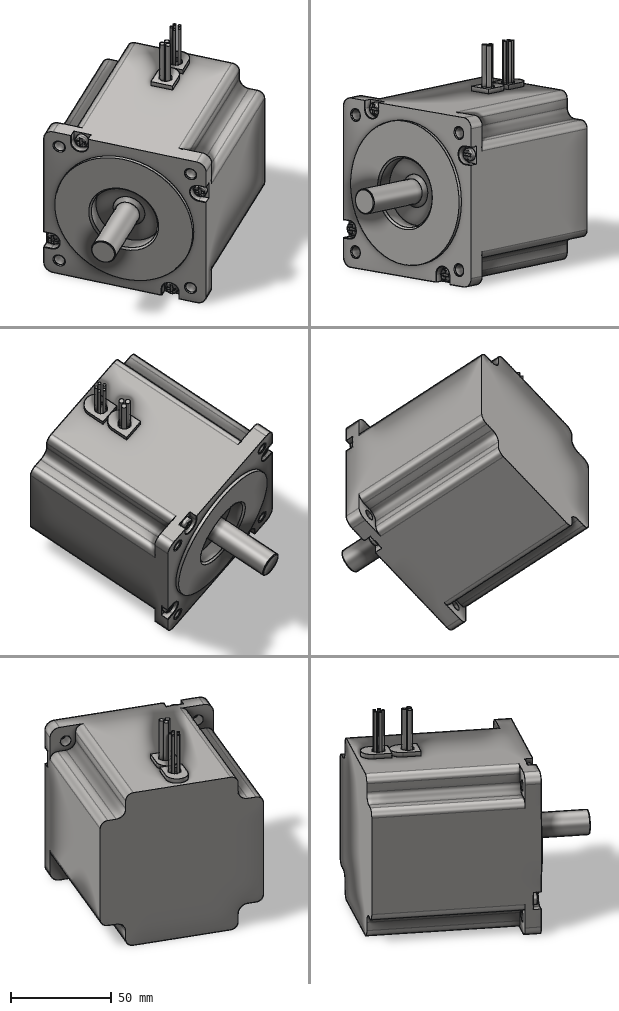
import cadquery as cq
import math

side = 86.0
motor_length = 86.0
flange_thickness = 8.25
flange_corner_radius = 5.0

flat_half_width = 25.6
body_round_radius = 4.0
notch_fillet_radius = 5.0

pilot_diameter = 73.0
pilot_height = 1.75
recess_diameter = 35.0
recess_depth = 7.75
recess_chamfer = 1.0
shaft_diameter = 12.7
shaft_projection = 30.0
shaft_chamfer = 0.4
collar_diameter = 16.8
collar_height = 2.0

hole_diameter = 5.5
hole_rim_diameter = 6.5
hole_spacing = 69.6

screw_edge_distance = 4.0
screw_offset = 24.0
screw_pocket_width = 9.0
screw_pocket_depth = 4.1
screw_pocket_chamfer = 0.25
screw_head_diameter = 6.5
screw_head_height = 2.6
screw_head_round = 0.8
cross_length = 4.8
cross_width = 1.4
cross_depth = 1.2

outlet_width = 11.5
outlet_length = 14.8
outlet_height = 2.39
outlet_bore_from_front = 5.75
outlet_rear_gap = 2.35
outlet_bore_diameter = 6.5
lead_length = 21.0
thin_lead_diameter = 1.45
thin_lead_count = 5
thin_lead_circle_radius = 2.28
thick_lead_diameter = 2.5
thick_lead_count = 3
thick_lead_circle_radius = 1.8

half_side = side / 2


def cylinder(diameter, y_start, y_end, x=0, z=0):
    """Cylinder along Y between two Y positions."""
    plane = cq.Workplane("XZ", origin=(x, y_start, z))
    return plane.circle(diameter / 2).extrude(y_start - y_end)


def cone(base_diameter, tip_diameter, y_base, y_tip, x=0, z=0):
    """Truncated cone along Y."""
    return cq.Workplane(
        cq.Solid.makeCone(
            base_diameter / 2,
            tip_diameter / 2,
            abs(y_tip - y_base),
            pnt=cq.Vector(x, y_base, z),
            dir=cq.Vector(0, math.copysign(1, y_tip - y_base), 0),
        )
    )


def corner_notch():
    """Section removed from the +X +Z body corner, running the length of the body."""
    wall = flat_half_width + body_round_radius
    fillet_end = wall + notch_fillet_radius
    round_end = half_side - body_round_radius
    round_mid = body_round_radius * math.sqrt(0.5)
    fillet_mid = fillet_end - notch_fillet_radius * math.sqrt(0.5)
    return (
        cq.Workplane("XZ", origin=(0, motor_length, 0))
        .moveTo(flat_half_width, half_side)
        .threePointArc((flat_half_width + round_mid, round_end + round_mid), (wall, round_end))
        .lineTo(wall, fillet_end)
        .threePointArc((fillet_mid, fillet_mid), (fillet_end, wall))
        .lineTo(round_end, wall)
        .threePointArc((round_end + round_mid, flat_half_width + round_mid), (half_side, flat_half_width))
        .lineTo(half_side, half_side)
        .close()
        .extrude(motor_length - flange_thickness)
    )


def make_body():
    body = cq.Workplane("XY").box(side, motor_length - flange_thickness, side)
    body = body.translate((0, (motor_length + flange_thickness) / 2, 0))
    for quarter in range(4):
        body = body.cut(corner_notch().rotate((0, 0, 0), (0, 1, 0), 90 * quarter))
    return body


def make_flange():
    flange = cq.Workplane("XY").box(side, flange_thickness, side)
    flange = flange.translate((0, flange_thickness / 2, 0)).edges("|Y").fillet(flange_corner_radius)
    rim_chamfer = (hole_rim_diameter - hole_diameter) / 2
    for x_sign in (-1, 1):
        for z_sign in (-1, 1):
            x = x_sign * hole_spacing / 2
            z = z_sign * hole_spacing / 2
            flange = flange.cut(cylinder(hole_diameter, 0, flange_thickness, x, z))
            flange = flange.cut(cone(hole_rim_diameter, hole_diameter, 0, rim_chamfer, x, z))
    return flange


def screw_pocket():
    """Round-ended pocket with a chamfered rim, open to the +Z side of the flange."""
    screw_z = half_side - screw_edge_distance
    rim_diameter = screw_pocket_width + 2 * screw_pocket_chamfer
    pocket = cylinder(screw_pocket_width, 0, screw_pocket_depth, -screw_offset, screw_z)
    rim = cone(rim_diameter, screw_pocket_width, 0, screw_pocket_chamfer, -screw_offset, screw_z)
    mouth = (
        cq.Workplane("XY", origin=(-screw_offset, 0, screw_z))
        .moveTo(-rim_diameter / 2, 0)
        .lineTo(rim_diameter / 2, 0)
        .lineTo(screw_pocket_width / 2, screw_pocket_chamfer)
        .lineTo(screw_pocket_width / 2, screw_pocket_depth)
        .lineTo(-screw_pocket_width / 2, screw_pocket_depth)
        .lineTo(-screw_pocket_width / 2, screw_pocket_chamfer)
        .close()
        .extrude(rim_diameter)
    )
    return pocket.union(rim).union(mouth)


def screw_head():
    """Pan head with a cross recess, standing on the pocket floor."""
    screw_z = half_side - screw_edge_distance
    head_front = screw_pocket_depth - screw_head_height
    head = cylinder(screw_head_diameter, screw_pocket_depth, head_front, -screw_offset, screw_z)
    head = head.faces("<Y").edges().fillet(screw_head_round)
    arm = cq.Workplane("XY").box(cross_length, cross_depth, cross_width, centered=(True, False, True))
    cross = arm.union(arm.rotate((0, 0, 0), (0, 1, 0), 90))
    return head.cut(cross.translate((-screw_offset, head_front, screw_z)))


def add_screws(part):
    for quarter in range(4):
        part = part.cut(screw_pocket().rotate((0, 0, 0), (0, 1, 0), 90 * quarter))
        part = part.union(screw_head().rotate((0, 0, 0), (0, 1, 0), 90 * quarter))
    return part


def add_pilot_and_shaft(part):
    recess_floor = recess_depth - pilot_height
    part = part.union(cylinder(pilot_diameter, 0, -pilot_height))
    part = part.cut(cylinder(recess_diameter, -pilot_height, recess_floor))
    rim_diameter = recess_diameter + 2 * recess_chamfer
    part = part.cut(cone(rim_diameter, recess_diameter, -pilot_height, recess_chamfer - pilot_height))
    part = part.union(cone(collar_diameter, shaft_diameter, recess_floor, recess_floor - collar_height))
    shaft = cylinder(shaft_diameter, recess_floor, -pilot_height - shaft_projection)
    return part.union(shaft.faces("<Y").chamfer(shaft_chamfer))


def lead_outlet(rear_y, lead_count, lead_diameter, lead_circle_radius, first_angle):
    """Round-backed outlet plate with a bore holding a ring of leads."""
    radius = outlet_width / 2
    bore_y = rear_y - outlet_length + outlet_bore_from_front
    plate = (
        cq.Workplane("XY", origin=(0, 0, half_side))
        .moveTo(-radius, rear_y - outlet_length)
        .lineTo(radius, rear_y - outlet_length)
        .lineTo(radius, rear_y - radius)
        .threePointArc((0, rear_y), (-radius, rear_y - radius))
        .close()
        .extrude(outlet_height)
    )
    bore = cq.Workplane("XY", origin=(0, bore_y, half_side)).circle(outlet_bore_diameter / 2)
    outlet = plate.cut(bore.extrude(outlet_height))
    leads = (
        cq.Workplane("XY", origin=(0, bore_y, half_side))
        .polarArray(lead_circle_radius, first_angle, 360, lead_count)
        .circle(lead_diameter / 2)
        .extrude(outlet_height + lead_length)
    )
    return outlet.union(leads)


result = add_screws(make_body().union(make_flange()))
result = add_pilot_and_shaft(result)
rear_outlet_y = motor_length - outlet_rear_gap
result = result.union(
    lead_outlet(rear_outlet_y, thin_lead_count, thin_lead_diameter, thin_lead_circle_radius, -90)
)
result = result.union(
    lead_outlet(
        rear_outlet_y - outlet_length, thick_lead_count, thick_lead_diameter, thick_lead_circle_radius, 90
    )
)